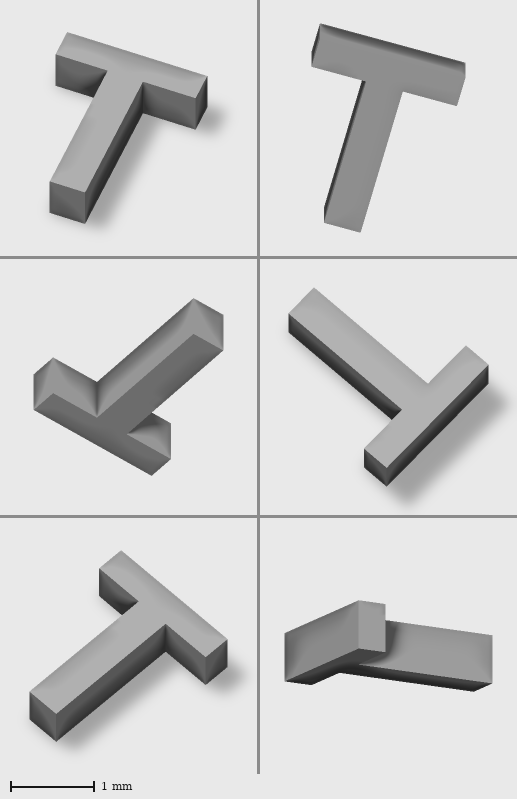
import cadquery as cq

bar_length = 1.82
bar_width = 0.373
stem_width = 0.459
stem_offset = -0.003
overall_length = 2.23
thickness = 0.6

bar_center_y = (overall_length - bar_width) / 2


def bar(length_x, length_y, center_x, center_y):
    """Rectangular bar centred at the given X and Y, rising from Z = 0."""
    return (
        cq.Workplane("XY")
        .center(center_x, center_y)
        .rect(length_x, length_y)
        .extrude(thickness)
    )


crossbar = bar(bar_length, bar_width, 0, bar_center_y)
stem = bar(stem_width, overall_length, stem_offset, 0)

result = crossbar.union(stem, clean=True)